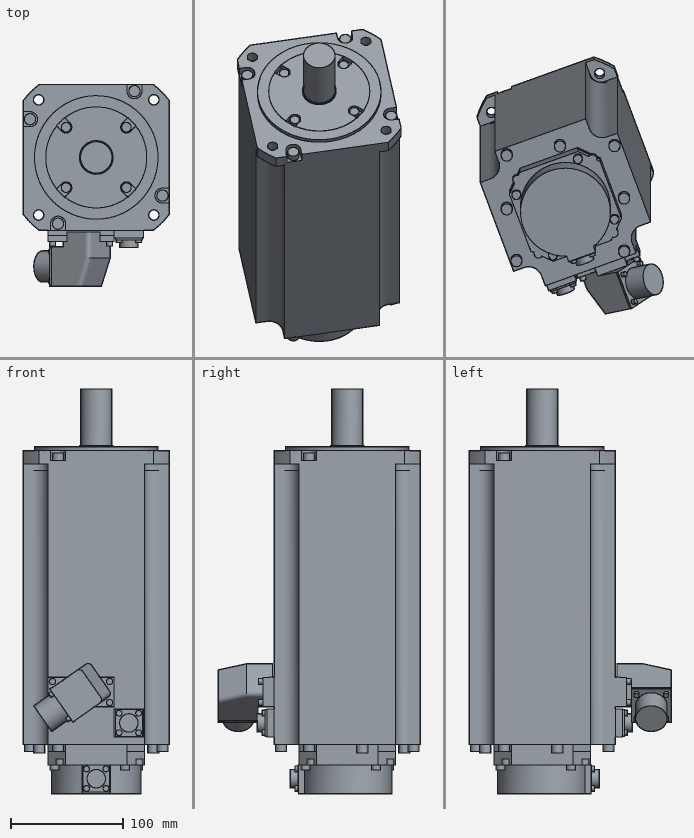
import cadquery as cq
import math


SIDE = 130.0
HALF = SIDE / 2
TOTAL_LENGTH = 360.5
SEAM_STEP = 0.25

SHAFT_DIA = 28.0
SHAFT_END = 55.0
COLLAR_DIA = 30.0
COLLAR_HEIGHT = 1.0
PILOT_DIA = 110.0
PILOT_HEIGHT = 3.5
COVER_DIA = 90.0
COVER_SCREW_RADIUS = 38.0
COVER_SCREW_DIA = 8.5
COVER_SCREW_SINK = 1.5
COVER_POCKET_WIDTH = 10.3
COVER_POCKET_DEPTH = 5.0

FLANGE_THICKNESS = 12.0
FLANGE_CORNER_DIA = 165.0
MOUNT_CIRCLE_DIA = 145.0
MOUNT_PITCH = MOUNT_CIRCLE_DIA / math.sqrt(2)
MOUNT_HOLE_DIA = 9.0

TIE_BOLT_NEAR = 34.0
TIE_BOLT_FAR = 59.0
TIE_HEAD_DIA = 10.0
TIE_HEAD_HEIGHT = 6.3
TIE_POCKET_WIDTH = 13.4
TIE_POCKET_DEPTH = 8.6

BODY_BOTTOM = -261.5
NOTCH = 22.0
NOTCH_FILLET = 12.3
NECK_HEIGHT = 5.6
NECK_FILLET = 10.0
END_BOLT_DIA = 10.0
END_BOLT_HEIGHT = 7.6
END_BOLT_NEAR = 13.4
END_BOLT_FAR = 50.7

BLOCK_SIDE = SIDE - 2 * NOTCH
BLOCK_BOTTOM = -279.8
BLOCK_CHAMFER = 15.5
BLOCK_SEAM = -267.8
BLOCK_SCREW_DIA = 8.0
CAP_SCREW_HEIGHT = 4.5
CAP_SCREW_NEAR = 25.5
CAP_SCREW_FAR = 37.2
EDGE_SCREW_HEIGHT = 5.6
EDGE_SCREW_NEAR = 32.0
EDGE_SCREW_FAR = 37.4

CAP_DIA = 80.0
CAP_BOTTOM = SHAFT_END - TOTAL_LENGTH
PAD_WIDTH = 25.5
PAD_FACE = -43.5

SOCKET_SIDE = 24.0
SOCKET_SCREW_OFFSET = 8.7
SOCKET_SCREW_DIA = 5.2
SOCKET_SCREW_HEIGHT = 2.5
SOCKET_BARREL_DIA = 16.4
SOCKET_BARREL_LENGTH = 6.9
CAP_SOCKET_Z = -291.9
CAP_SOCKET_FACE = -44.0
BODY_SOCKET_X = 29.0
BODY_SOCKET_Z = -242.3
BODY_SOCKET_BASE_WIDTH = 26.4
BODY_SOCKET_BASE_HEIGHT = 25.2
BODY_SOCKET_BASE_FACE = -71.6
BODY_SOCKET_FACE = -73.3

PLATE_X = -13.5
PLATE_Z = -214.8
PLATE_WIDTH = 59.0
PLATE_HEIGHT = 26.4
PLATE_SEAM_FACE = -69.3
PLATE_FACE = -75.0
PLATE_SCREW_X = 25.4
PLATE_SCREW_Z = 9.4
PLATE_SCREW_DIA = 5.5
PLATE_SCREW_HEIGHT = 4.0

ELBOW_TILT = 35.0
ELBOW_X = -31.0
ELBOW_Z = -226.9
ELBOW_WIDTH = 35.5
ELBOW_LENGTH = 42.6
ELBOW_FILLET = 4.0
ELBOW_OUTER = -114.8
ELBOW_INNER = -66.5
ELBOW_SLOPE_START = -89.7
ELBOW_SLOPE_RUN = 9.6
ELBOW_UNDERSIDE = ELBOW_OUTER + ELBOW_WIDTH
ELBOW_LEG_X = -29.5
ELBOW_LIP = 1.9
ELBOW_LIP_STEP = 0.4
ELBOW_SCREW_OFFSET = 13.2
ELBOW_SCREW_DIA = 4.5
ELBOW_SCREW_HEIGHT = 3.3
BARREL_DIA = 28.0
BARREL_LENGTH = 20.3

OVERLAP = 1.0
FOUR_SIGNS = [(-1, -1), (-1, 1), (1, -1), (1, 1)]


def box(x0, x1, y0, y1, z0, z1):
    return cq.Workplane("XY").box(x1 - x0, y1 - y0, z1 - z0, centered=False).translate((x0, y0, z0))


def square_bar(side, z0, z1):
    return box(-side / 2, side / 2, -side / 2, side / 2, z0, z1)


def disk(x, y, dia, z0, z1):
    """Cylinder along Z."""
    return cq.Workplane("XY").workplane(offset=z0).center(x, y).circle(dia / 2).extrude(z1 - z0)


def stud(x, z, dia, y_root, y_tip):
    """Cylinder along -Y from y_root out to y_tip."""
    axis = cq.Solid.makeCylinder(dia / 2, y_root - y_tip, cq.Vector(x, y_root, z), cq.Vector(0, -1, 0))
    return cq.Workplane(obj=axis)


def quarter_turns(x, y, count=4):
    """The point (x, y) and its successive 90 degree turns about the motor axis."""
    points = []
    for _ in range(count):
        points.append((x, y))
        x, y = y, -x
    return points


def flange():
    plate = square_bar(SIDE, -FLANGE_THICKNESS, 0)
    plate = plate.intersect(disk(0, 0, FLANGE_CORNER_DIA, -FLANGE_THICKNESS, 0))
    for sx, sy in FOUR_SIGNS:
        x = sx * MOUNT_PITCH / 2
        y = sy * MOUNT_PITCH / 2
        plate = plate.cut(disk(x, y, MOUNT_HOLE_DIA, -FLANGE_THICKNESS, 0))
    return plate


def tie_bolt_pocket():
    """Round-ended pocket open to the +Y side, with the bolt head left standing in it."""
    x = TIE_BOLT_NEAR
    y = TIE_BOLT_FAR
    floor = -TIE_POCKET_DEPTH
    half_width = TIE_POCKET_WIDTH / 2
    pocket = disk(x, y, TIE_POCKET_WIDTH, floor, 0)
    pocket = pocket.union(box(x - half_width, x + half_width, y, HALF + OVERLAP, floor, 0))
    return pocket.cut(disk(x, y, TIE_HEAD_DIA, floor, floor + TIE_HEAD_HEIGHT))


def cover_pocket():
    """Pocket open to the rim of the front cover, with the screw head left standing in it."""
    floor = PILOT_HEIGHT - COVER_POCKET_DEPTH
    half_width = COVER_POCKET_WIDTH / 2
    pocket = disk(COVER_SCREW_RADIUS, 0, COVER_POCKET_WIDTH, floor, PILOT_HEIGHT)
    slot = box(COVER_SCREW_RADIUS, COVER_DIA / 2, -half_width, half_width, floor, PILOT_HEIGHT)
    head = disk(COVER_SCREW_RADIUS, 0, COVER_SCREW_DIA, floor, PILOT_HEIGHT - COVER_SCREW_SINK)
    return pocket.union(slot).cut(head)


def front_end():
    cover_top = PILOT_HEIGHT - SEAM_STEP
    end = flange().union(disk(0, 0, PILOT_DIA, -OVERLAP, PILOT_HEIGHT))
    end = end.cut(disk(0, 0, COVER_DIA, cover_top, PILOT_HEIGHT))
    end = end.union(disk(0, 0, COLLAR_DIA, 0, PILOT_HEIGHT + COLLAR_HEIGHT))
    end = end.union(disk(0, 0, SHAFT_DIA, 0, SHAFT_END))
    bolt_cut = tie_bolt_pocket()
    cover_cut = cover_pocket()
    for turn in range(4):
        end = end.cut(bolt_cut.rotate((0, 0, 0), (0, 0, 1), 90 * turn))
        end = end.cut(cover_cut.rotate((0, 0, 0), (0, 0, 1), 45 + 90 * turn))
    return end


def notched_bar(fillet, z0, z1):
    """Square bar with a square notch in each corner, the notch root rounded by the fillet."""
    bar = square_bar(SIDE, z0, z1)
    root = HALF - NOTCH
    for sx, sy in FOUR_SIGNS:
        notch = box(root, HALF, root, HALF, z0, z1)
        notch = notch.edges("|Z and <X and <Y").fillet(fillet)
        turn = math.degrees(math.atan2(sy, sx)) - 45
        bar = bar.cut(notch.rotate((0, 0, 0), (0, 0, 1), turn))
    return bar


def body():
    neck_bottom = -FLANGE_THICKNESS - NECK_HEIGHT
    shell = notched_bar(NECK_FILLET, neck_bottom, -FLANGE_THICKNESS)
    shell = shell.union(notched_bar(NOTCH_FILLET, BODY_BOTTOM, neck_bottom))
    for x, y in quarter_turns(TIE_BOLT_NEAR, TIE_BOLT_FAR):
        shell = shell.union(disk(x, y, TIE_HEAD_DIA, BODY_BOTTOM - TIE_HEAD_HEIGHT, BODY_BOTTOM + OVERLAP))
    for x, y in quarter_turns(-END_BOLT_FAR, -END_BOLT_NEAR, 3):
        shell = shell.union(disk(x, y, END_BOLT_DIA, BODY_BOTTOM - END_BOLT_HEIGHT, BODY_BOTTOM + OVERLAP))
    return shell


def encoder_block():
    upper = square_bar(BLOCK_SIDE, BLOCK_SEAM, BODY_BOTTOM).edges("|Z").chamfer(BLOCK_CHAMFER + SEAM_STEP)
    block = square_bar(BLOCK_SIDE, BLOCK_BOTTOM, BLOCK_SEAM).edges("|Z").chamfer(BLOCK_CHAMFER)
    block = block.union(upper)
    edge_screw_top = BLOCK_BOTTOM + EDGE_SCREW_HEIGHT
    cap_screw_bottom = BLOCK_BOTTOM - CAP_SCREW_HEIGHT
    for x, y in quarter_turns(-EDGE_SCREW_NEAR, -EDGE_SCREW_FAR):
        block = block.union(disk(x, y, BLOCK_SCREW_DIA, BLOCK_BOTTOM, edge_screw_top))
    for x, y in quarter_turns(-CAP_SCREW_FAR, -CAP_SCREW_NEAR):
        block = block.union(disk(x, y, BLOCK_SCREW_DIA, cap_screw_bottom, BLOCK_BOTTOM + OVERLAP))
    return block


def encoder_cap():
    cap = disk(0, 0, CAP_DIA, CAP_BOTTOM, BLOCK_BOTTOM)
    pad = box(-PAD_WIDTH / 2, PAD_WIDTH / 2, PAD_FACE, 0, CAP_BOTTOM, BLOCK_BOTTOM)
    return cap.union(pad)


def socket(x, z, y_root, y_face):
    half = SOCKET_SIDE / 2
    part = box(x - half, x + half, y_face, y_root, z - half, z + half)
    for sx, sz in FOUR_SIGNS:
        screw_x = x + sx * SOCKET_SCREW_OFFSET
        screw_z = z + sz * SOCKET_SCREW_OFFSET
        part = part.union(stud(screw_x, screw_z, SOCKET_SCREW_DIA, y_face, y_face - SOCKET_SCREW_HEIGHT))
    return part.union(stud(x, z, SOCKET_BARREL_DIA, y_face, y_face - SOCKET_BARREL_LENGTH))


def body_socket():
    half_width = BODY_SOCKET_BASE_WIDTH / 2
    half_height = BODY_SOCKET_BASE_HEIGHT / 2
    base = box(BODY_SOCKET_X - half_width, BODY_SOCKET_X + half_width,
               BODY_SOCKET_BASE_FACE, OVERLAP - HALF,
               BODY_SOCKET_Z - half_height, BODY_SOCKET_Z + half_height)
    return base.union(socket(BODY_SOCKET_X, BODY_SOCKET_Z, BODY_SOCKET_BASE_FACE, BODY_SOCKET_FACE))


def plate_layer(inset, y_face, y_root):
    """Layer of the plate, its upper and lower edges drawn in by the inset."""
    half_width = PLATE_WIDTH / 2
    half_height = PLATE_HEIGHT / 2 - inset
    return box(PLATE_X - half_width, PLATE_X + half_width, y_face, y_root,
               PLATE_Z - half_height, PLATE_Z + half_height)


def connector_plate():
    plate = plate_layer(0, PLATE_SEAM_FACE, OVERLAP - HALF)
    plate = plate.union(plate_layer(SEAM_STEP, PLATE_FACE, PLATE_SEAM_FACE))
    for sx, sz in FOUR_SIGNS:
        x = PLATE_X + sx * PLATE_SCREW_X
        z = PLATE_Z + sz * PLATE_SCREW_Z
        plate = plate.union(stud(x, z, PLATE_SCREW_DIA, PLATE_FACE, PLATE_FACE - PLATE_SCREW_HEIGHT))
    return plate


def place_elbow(part):
    """Tilt a part drawn with its axis along +X and set it at the elbow position."""
    return part.rotate((0, 0, 0), (0, 1, 0), -ELBOW_TILT).translate((ELBOW_X, 0, ELBOW_Z))


def elbow_housing():
    profile = [
        (0, ELBOW_INNER),
        (ELBOW_LENGTH, ELBOW_INNER),
        (ELBOW_LENGTH, ELBOW_SLOPE_START),
        (ELBOW_LENGTH - ELBOW_SLOPE_RUN, ELBOW_OUTER),
        (0, ELBOW_OUTER),
    ]
    housing = cq.Workplane("XY").polyline(profile).close().extrude(ELBOW_WIDTH / 2, both=True)
    far_edges = housing.faces("<Z or >Z").edges(cq.selectors.BoxSelector(
        (ELBOW_LENGTH - ELBOW_SLOPE_RUN, ELBOW_OUTER + OVERLAP, -ELBOW_WIDTH),
        (ELBOW_LENGTH + OVERLAP, ELBOW_INNER - OVERLAP, ELBOW_WIDTH)))
    housing = place_elbow(far_edges.fillet(ELBOW_FILLET))
    plate_bottom = PLATE_Z - PLATE_HEIGHT / 2
    reach = 2 * ELBOW_LENGTH
    left_relief = box(ELBOW_X - reach, ELBOW_LEG_X, ELBOW_UNDERSIDE, 0, ELBOW_Z - reach, ELBOW_Z + reach)
    lower_relief = box(ELBOW_X - reach, ELBOW_X + reach, ELBOW_UNDERSIDE, 0, ELBOW_Z - reach, plate_bottom)
    return housing.cut(left_relief).cut(lower_relief)


def elbow_outlet():
    """Lip, four screws and the round cable barrel on the cable-side face."""
    centre_y = ELBOW_OUTER + ELBOW_WIDTH / 2
    half = ELBOW_WIDTH / 2
    lip_half = half + ELBOW_LIP_STEP
    outlet = box(0, ELBOW_LIP, centre_y - half, centre_y + half, -lip_half, lip_half)
    face = cq.Workplane("YZ").center(centre_y, 0)
    outlet = outlet.union(face.circle(BARREL_DIA / 2).extrude(-BARREL_LENGTH))
    screw_points = [(sy * ELBOW_SCREW_OFFSET, sz * ELBOW_SCREW_OFFSET) for sy, sz in FOUR_SIGNS]
    screws = face.pushPoints(screw_points).circle(ELBOW_SCREW_DIA / 2).extrude(-ELBOW_SCREW_HEIGHT)
    return place_elbow(outlet.union(screws))


parts = [
    body(),
    encoder_block(),
    encoder_cap(),
    socket(0, CAP_SOCKET_Z, PAD_FACE + OVERLAP, CAP_SOCKET_FACE),
    body_socket(),
    connector_plate(),
    elbow_housing(),
    elbow_outlet(),
]
result = front_end()
for part in parts:
    result = result.union(part)